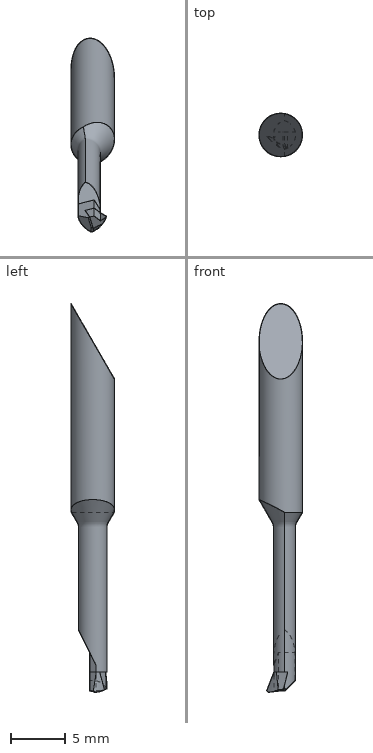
import cadquery as cq
import math

total_length = 35.7
shank_radius = 2.0
bevel_angle = 30.0
taper_angle = 30.0
neck_radius = 1.35
neck_offset = 0.68
shoulder_z = 15.6
neck_blend_z = 15.18
shoulder_radius = 1.45
margin = 0.7

chamfer_z = 1.1
chamfer_size = 1.0

joint_top_z = 1.85
joint_top_x = 0.65
joint_bottom_x = 0.18
tip_back_y = 0.7
bottom_flank = [(-1.35, -0.05), (-0.9, -0.55), (-0.2, -1.15), (joint_bottom_x, -1.25)]
top_flank = [(-0.65, -0.32), (-0.5, -0.5), (-0.4, -0.65), (joint_top_x, -1.18)]
nose_chamfer = 0.18
nose_x = -1.15
end_rise = 0.2
back_rise = 0.35

gullet_top_z = 5.82
gullet_angle = 26.5
gullet_low_y = -0.35
land_y = 0.3
groove_low = (-0.65, -0.32)
groove_wall_top_x = -0.2


def turned_blank(axis_x):
    """Neck, blend, cone and shank-wide stock turned about a vertical axis."""
    stock_radius = shank_radius + neck_offset + margin
    cone_height = (stock_radius - shoulder_radius) / math.tan(math.radians(taper_angle))
    return (
        cq.Workplane("XZ")
        .moveTo(0, 0)
        .lineTo(neck_radius, 0)
        .lineTo(neck_radius, neck_blend_z)
        .tangentArcPoint((shoulder_radius, shoulder_z), relative=False)
        .lineTo(stock_radius, shoulder_z + cone_height)
        .lineTo(stock_radius, total_length)
        .lineTo(0, total_length)
        .close()
        .revolve(360, (0, 0, 0), (0, 1, 0))
        .translate((axis_x, 0, 0))
    )


def bevel_cutter():
    """Wedge above the sloping end of the shank, highest on its +Y side."""
    drop = 2 * shank_radius / math.tan(math.radians(bevel_angle))
    return (
        cq.Workplane("YZ")
        .polyline([
            (shank_radius, total_length),
            (-shank_radius, total_length - drop),
            (-shank_radius, total_length),
        ])
        .close()
        .extrude(shank_radius + margin, both=True)
    )


def gullet_cutter():
    """Sloping run-out above a grooved chip floor."""
    run_out_slope = math.tan(math.radians(gullet_angle))
    gullet_low_z = gullet_top_z - (neck_radius - gullet_low_y) / run_out_slope
    run_out = (
        cq.Workplane("YZ")
        .polyline([
            (neck_radius, gullet_top_z),
            (gullet_low_y, gullet_low_z),
            (gullet_low_y, -margin),
            (neck_radius, -margin),
        ])
        .close()
        .extrude(shank_radius + margin, both=True)
    )
    floor = (
        cq.Workplane("XY")
        .workplane(offset=-margin)
        .polyline([
            (-shank_radius, neck_radius),
            (-shank_radius, bottom_flank[0][1]),
            bottom_flank[0],
            groove_low,
            (groove_wall_top_x, land_y),
            (shank_radius, land_y),
            (shank_radius, neck_radius),
        ])
        .close()
        .extrude(gullet_top_z + 2 * margin)
    )
    return run_out.intersect(floor)


def tip_space():
    """Region left of the joint face and below the neck's lower step."""
    return (
        cq.Workplane("XZ")
        .polyline([
            (-shank_radius, 0),
            (joint_bottom_x, 0),
            (joint_top_x, joint_top_z),
            (-shank_radius, joint_top_z),
        ])
        .close()
        .extrude(shank_radius, both=True)
    )


def heel_cutter():
    """Wedge that lifts the lower end toward the heel, on the -Y side."""
    rise_start_y = bottom_flank[1][1]
    heel_y = -neck_radius
    return (
        cq.Workplane("YZ")
        .polyline([(rise_start_y, 0), (heel_y, back_rise), (heel_y, 0)])
        .close()
        .extrude(shank_radius, both=True)
    )


def make_holder():
    shank = cq.Workplane("XY").circle(shank_radius).extrude(total_length)
    body = shank.intersect(turned_blank(0)).intersect(turned_blank(neck_offset))
    chamfer = (
        cq.Workplane("XZ")
        .polyline([
            (neck_radius, chamfer_z),
            (neck_radius - chamfer_size, chamfer_z - chamfer_size),
            (neck_radius - chamfer_size, -margin),
            (neck_radius + margin, -margin),
            (neck_radius + margin, chamfer_z),
        ])
        .close()
        .extrude(shank_radius, both=True)
    )
    end_trim = cq.Workplane("XY").box(
        2 * shank_radius, 2 * shank_radius, 2 * (chamfer_z - chamfer_size)
    )
    body = body.cut(bevel_cutter()).cut(chamfer).cut(end_trim)
    return body.cut(heel_cutter()).cut(tip_space()).cut(gullet_cutter())


def closed_section(flank):
    """Flank points closed by straight sides on the +Y side."""
    return flank + [(flank[-1][0], tip_back_y), (flank[0][0], tip_back_y)]


def make_tip():
    tip = (
        cq.Workplane("XY")
        .polyline(closed_section(bottom_flank))
        .close()
        .workplane(offset=joint_top_z)
        .polyline(closed_section(top_flank))
        .close()
        .loft(ruled=True)
    )
    joint_rise = (
        cq.Workplane("XZ")
        .polyline([
            (nose_x - 2 * nose_chamfer, 2 * nose_chamfer),
            (nose_x, 0),
            (joint_top_x, end_rise),
            (joint_top_x, -margin),
            (nose_x - 2 * nose_chamfer, -margin),
        ])
        .close()
        .extrude(shank_radius, both=True)
    )
    return tip.cut(joint_rise).cut(heel_cutter()).cut(gullet_cutter())


holder = make_holder()
tip = make_tip()
result = cq.Compound.makeCompound([*holder.solids().vals(), *tip.solids().vals()])